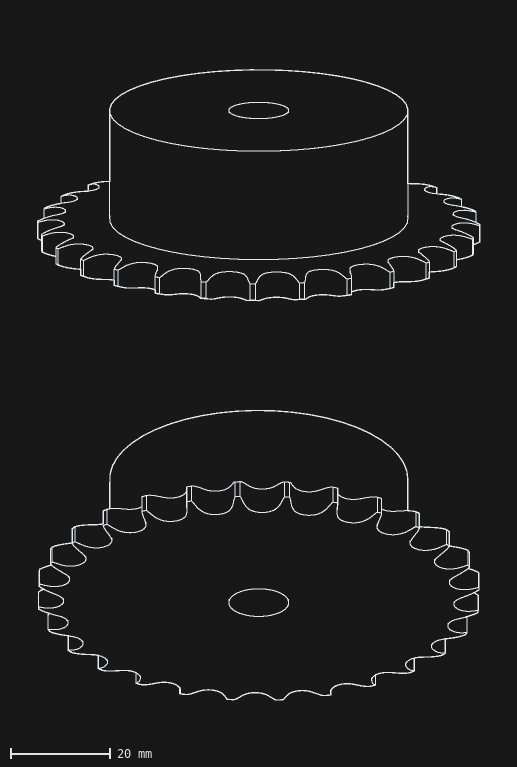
import cadquery as cq
import math


tooth_count = 28
roller_diameter = 6.4
pitch_diameter = 85.0
outer_diameter = 89.0
plate_thickness = 5.3
overall_height = 28.0
hub_diameter = 60.0
bore_diameter = 12.0

side_round_depth = 1.0
side_round_radius = 10.0

pitch_radius = pitch_diameter / 2
outer_radius = outer_diameter / 2

seat_clearance = 0.035
seat_radius = 0.5025 * roller_diameter + seat_clearance
working_radius = 1.3025 * roller_diameter
seat_angle = 90 - (35 + 60 / tooth_count)
working_angle = 18 - 56 / tooth_count
topping_angle = 17 - 64 / tooth_count
flat_length = roller_diameter * (
    1.4 * math.sin(math.radians(topping_angle)) - 0.8 * math.sin(math.radians(working_angle))
)
topping_radius = roller_diameter * (
    0.8 * math.cos(math.radians(working_angle)) + 1.4 * math.cos(math.radians(topping_angle)) - 1.3025
)
topping_sweep = 20


def polar_offset(point, radius, heading):
    """Point at a distance from another, square to a heading (degrees from +X) and to its right."""
    angle = math.radians(heading)
    return (point[0] + radius * math.sin(angle), point[1] - radius * math.cos(angle))


def mirrored(point):
    return (-point[0], point[1])


def make_gap_cutter():
    """Prism filling the gap between two teeth, centred on the +Y axis."""
    flank_heading = seat_angle + working_angle
    seat_centre = (0, pitch_radius)
    gap_bottom = polar_offset(seat_centre, seat_radius, 0)
    seat_end = polar_offset(seat_centre, seat_radius, seat_angle)

    working_centre = polar_offset(seat_end, -working_radius, seat_angle)
    working_middle = polar_offset(working_centre, working_radius, seat_angle + working_angle / 2)
    working_end = polar_offset(working_centre, working_radius, flank_heading)

    flat_end = (
        working_end[0] + flat_length * math.cos(math.radians(flank_heading)),
        working_end[1] + flat_length * math.sin(math.radians(flank_heading)),
    )

    topping_centre = polar_offset(flat_end, topping_radius, flank_heading)
    topping_middle = polar_offset(topping_centre, -topping_radius, flank_heading - topping_sweep / 2)
    topping_end = polar_offset(topping_centre, -topping_radius, flank_heading - topping_sweep)

    return (
        cq.Workplane("XY")
        .moveTo(*mirrored(topping_end))
        .threePointArc(mirrored(topping_middle), mirrored(flat_end))
        .lineTo(*mirrored(working_end))
        .threePointArc(mirrored(working_middle), mirrored(seat_end))
        .threePointArc(gap_bottom, seat_end)
        .threePointArc(working_middle, working_end)
        .lineTo(*flat_end)
        .threePointArc(topping_middle, topping_end)
        .close()
        .extrude(plate_thickness)
    )


def make_blank():
    """Solid disc whose rim is rounded on both faces by arcs tangent to the faces."""

    def side_round_run(depth):
        """Radial distance over which the side rounding drops by a depth."""
        return math.sqrt(depth * (2 * side_round_radius - depth))

    face_radius = outer_radius - side_round_run(side_round_depth)
    middle_depth = side_round_depth / 4
    middle_radius = face_radius + side_round_run(middle_depth)
    return (
        cq.Workplane("XZ")
        .lineTo(face_radius, 0)
        .threePointArc((middle_radius, middle_depth), (outer_radius, side_round_depth))
        .lineTo(outer_radius, plate_thickness - side_round_depth)
        .threePointArc((middle_radius, plate_thickness - middle_depth), (face_radius, plate_thickness))
        .lineTo(0, plate_thickness)
        .close()
        .revolve(360, (0, 0, 0), (0, 1, 0))
    )


def make_toothed_plate():
    plate = make_blank()
    gap_cutter = make_gap_cutter()
    for index in range(tooth_count):
        plate = plate.cut(gap_cutter.rotate((0, 0, 0), (0, 0, 1), index * 360 / tooth_count))
    return plate


hub = cq.Workplane("XY").circle(hub_diameter / 2).extrude(overall_height)
bore = cq.Workplane("XY").circle(bore_diameter / 2).extrude(overall_height)

result = make_toothed_plate().union(hub).cut(bore)